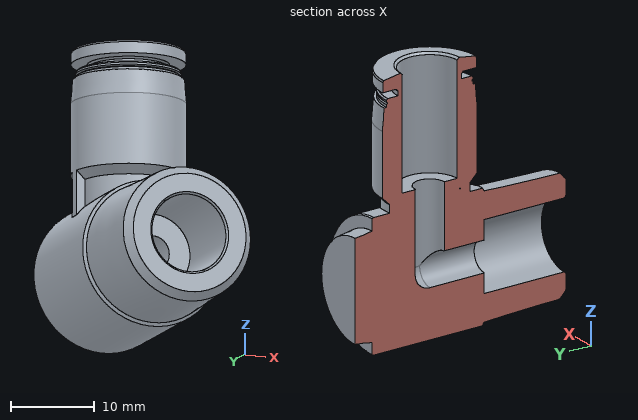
import cadquery as cq


body_dia = 17.9
body_back_y = 8.5
body_front_y = -8.0
body_edge_length = 0.25
body_back_edge_depth = 0.1

plug_back_y = 11.0
plug_base_dia = 14.5
plug_end_dia = 13.8

thread_front_y = -20.0
thread_base_dia = 17.1
thread_taper = 1 / 16
thread_tip_dia = 14.5
thread_tip_chamfer = 0.9

socket_dia = 14.0
socket_top_z = 22.75
socket_top_dia = 13.5
socket_taper_z = 19.8
socket_shoulder_z = 11.1
stem_dia = 11.9

collar_dia = 12.8
collar_top_z = 23.85
collar_chamfer = 0.2
groove_top_z = 23.4
groove_bottom_z = 23.1
groove_depth = 0.2

button_dia = 13.8
button_top_z = 26.7
button_rim_z = 26.3
button_bottom_z = 24.7
button_rim_height = 0.25
button_rim_depth = 0.1
button_neck_dia = 9.4
button_neck_chamfer = 0.25

rib_thickness = 1.5

passage_dia = 4.2
thread_bore_dia = 9.52
thread_bore_chamfer = 0.25
tube_bore_dia = 8.0
tube_bore_chamfer = 0.3
tube_bore_bottom_z = socket_shoulder_z


def revolve_about_y(profile):
    """Turn (radius, y) points around the Y axis."""
    return cq.Workplane("XY").polyline(profile).close().revolve(360, (0, 0), (0, 1))


def revolve_about_z(profile):
    """Turn (radius, z) points around the Z axis."""
    return cq.Workplane("XZ").polyline(profile).close().revolve(360, (0, 0), (0, 1))


def make_run():
    body_r = body_dia / 2
    chamfer_start_y = thread_front_y + thread_tip_chamfer
    thread_length = body_front_y - chamfer_start_y
    thread_small_r = (thread_base_dia - thread_taper * thread_length) / 2
    return revolve_about_y([
        (0, plug_back_y),
        (plug_end_dia / 2, plug_back_y),
        (plug_base_dia / 2, body_back_y),
        (body_r - body_back_edge_depth, body_back_y),
        (body_r, body_back_y - body_edge_length),
        (body_r, body_front_y + body_edge_length),
        (thread_base_dia / 2, body_front_y),
        (thread_small_r, chamfer_start_y),
        (thread_tip_dia / 2, thread_front_y),
        (0, thread_front_y),
    ])


def make_socket():
    socket_r = socket_dia / 2
    stem_r = stem_dia / 2
    collar_r = collar_dia / 2
    neck_r = button_neck_dia / 2
    return revolve_about_z([
        (0, 0),
        (stem_r, 0),
        (stem_r, socket_shoulder_z - (socket_r - stem_r)),
        (socket_r, socket_shoulder_z),
        (socket_r, socket_taper_z),
        (socket_top_dia / 2, socket_top_z),
        (collar_r, socket_top_z),
        (collar_r, groove_bottom_z),
        (collar_r - groove_depth, (groove_top_z + groove_bottom_z) / 2),
        (collar_r, groove_top_z),
        (collar_r, collar_top_z - collar_chamfer),
        (collar_r - collar_chamfer, collar_top_z),
        (neck_r, collar_top_z),
        (neck_r, button_bottom_z - button_neck_chamfer),
        (neck_r + button_neck_chamfer, button_bottom_z),
        (button_dia / 2, button_bottom_z),
        (button_dia / 2, button_rim_z - button_rim_height),
        (button_dia / 2 - button_rim_depth, button_rim_z),
        (tube_bore_dia / 2 + tube_bore_chamfer, button_top_z),
        (0, button_top_z),
    ])


def make_ribs():
    """Slice of the socket cylinder carried down to the run; its ends form a rib on each side."""
    cylinder = cq.Workplane("XY").circle(socket_dia / 2).extrude(socket_taper_z)
    slab = cq.Workplane("XY").box(
        socket_dia, rib_thickness, socket_taper_z, centered=(True, True, False)
    )
    return cylinder.intersect(slab)


def make_thread_bore():
    bore_r = thread_bore_dia / 2
    return revolve_about_y([
        (0, thread_front_y),
        (bore_r + thread_bore_chamfer, thread_front_y),
        (bore_r, thread_front_y + thread_bore_chamfer),
        (bore_r, body_front_y),
        (0, body_front_y),
    ])


def make_tube_bore():
    bore_r = tube_bore_dia / 2
    return revolve_about_z([
        (0, button_top_z),
        (bore_r + tube_bore_chamfer, button_top_z),
        (bore_r, button_top_z - tube_bore_chamfer),
        (bore_r, tube_bore_bottom_z),
        (0, tube_bore_bottom_z),
    ])


def make_passage():
    """Right-angle passage with a spherical corner, joining the two bores."""
    passage_r = passage_dia / 2
    upright = cq.Workplane("XY").circle(passage_r).extrude(tube_bore_bottom_z)
    level = cq.Workplane("XZ").circle(passage_r).extrude(-body_front_y)
    corner = cq.Workplane("XY").sphere(passage_r)
    return upright.union(level).union(corner)


result = make_run().union(make_socket().union(make_ribs()).clean())
result = result.cut(make_thread_bore()).cut(make_tube_bore()).cut(make_passage())